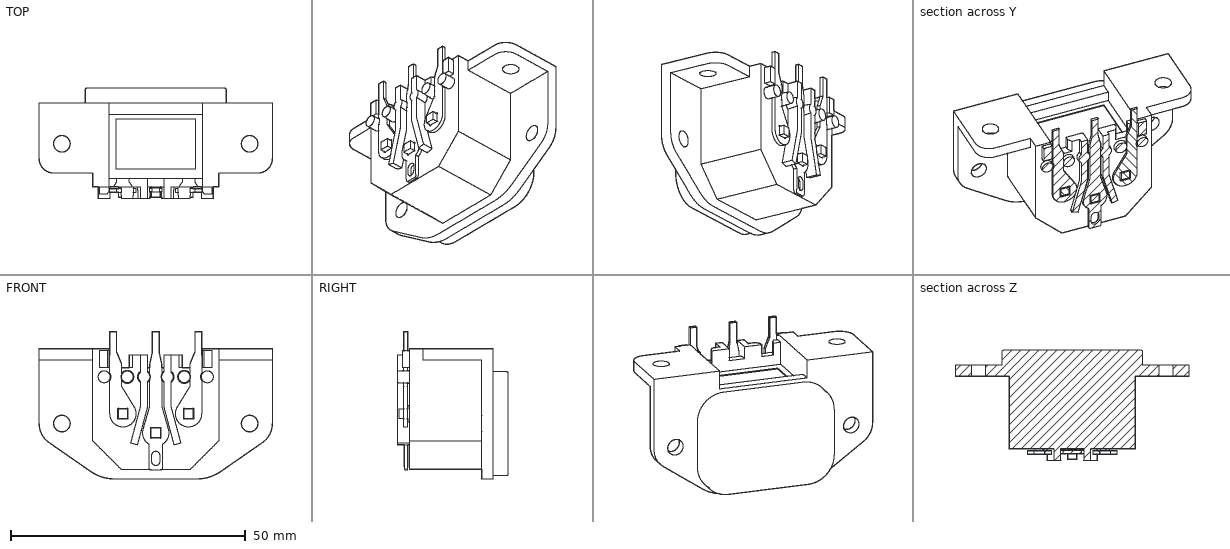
import cadquery as cq
import math


WIDTH = 49.75
HOUSING_HEIGHT = 27.8
FLANGE_THICKNESS = 2.45
FLANGE_BOTTOM_HALF_WIDTH = 11.55
FLANGE_SIDE_BOTTOM_Z = 9.25
FLANGE_SIDE_RADIUS = 5.0
FLANGE_BOTTOM_RADIUS = 8.95
TAB_LENGTH = 15.0
TAB_CORNER_RADIUS = 3.2
SCREW_HOLE_DIAMETER = 3.5
SCREW_HOLE_X = 20.0
FLANGE_HOLE_Z = 11.85
TAB_HOLE_Y = -8.7

BODY_HALF_WIDTH = 13.45
BODY_DEPTH = 17.85
BODY_BOTTOM_Z = 2.1
BODY_CHAMFER = 6.05
REAR_Y = -BODY_DEPTH

SHROUD_WIDTH = 30.05
SHROUD_HEIGHT = 22.2
SHROUD_DEPTH = 3.2
SHROUD_CORNER_RADIUS = 5.95
SHROUD_RIM_RADIUS = 0.35

CHANNEL_HALF_WIDTH = 9.95
CHANNEL_RIM_Z = 23.8
CHANNEL_FLOOR_Z = 21.5
REAR_WALL_THICKNESS = 1.8
LABEL_HALF_WIDTH = 8.5
LABEL_FRONT_Y = -3.45
LABEL_LENGTH = 10.6
LABEL_DEPTH = 0.2

REAR_REACH = 2.55
FIN_TOP_Z = 26.45
FIN_INNER_X = 1.75
FIN_THICKNESS = 1.5
FIN_BEND_Z = 15.55
FIN_TILT = math.radians(15)
FIN_LEG_LENGTH = 8.15
NOTCH_HALF_WIDTH = 1.35
NOTCH_FLARE = 0.65
NOTCH_FLARE_DEPTH = 1.05
PEG_Z = 21.8
OUTER_PEG_DIAMETER = 2.55
OUTER_PEG_X = 11.0
INNER_PEG_X = 6.05
FIN_PEG_X = 2.5
PEG_ROOT_DIAMETER = 2.8
PEG_TIP_DIAMETER = 2.5
STOP_OUTER_X = 11.95
STOP_TOP_Z = 27.35
STOP_DEPTH = 1.5
STOP_CHAMFER_X = 0.35
STOP_CHAMFER_Y = 0.6

PIN_SPACING = 14.0
SIDE_PIN_X = PIN_SPACING / 2
SIDE_PIN_Z = 13.95
CENTER_PIN_Z = 9.85
PIN_WIDTH = 2.0
PIN_REACH = 2.25
PIN_SHOULDER_HEIGHT = 3.5
PIN_SHOULDER_LENGTH = 0.3
PIN_SITES = [(-SIDE_PIN_X, SIDE_PIN_Z), (0, CENTER_PIN_Z), (SIDE_PIN_X, SIDE_PIN_Z)]

TERMINAL_TOP_Z = 31.45
TERMINAL_THICKNESS = 0.8
TERMINAL_EYE_DIAMETER = 5.6
TERMINAL_EYE_RADIUS = TERMINAL_EYE_DIAMETER / 2
TERMINAL_PIN_HOLE = 2.25
LEG_WIDTH = 1.5
LEG_TAPER_TOP_Z = 27.05
LEG_TAPER_BOTTOM_Z = 24.6
OUTER_PEG_CLEARANCE = 0.175
SIDE_STANDOFF = 0.4
SIDE_BAND_INNER_X = 7.25
SIDE_BAND_BOTTOM_Z = 19.75
CENTER_STANDOFF = 0.3
CENTER_BAND_HALF_WIDTH = 1.3
CENTER_BAND_BOTTOM_Z = 15.55
TAIL_HALF_WIDTH = 1.45
TAIL_BOTTOM_Z = 1.95
TAIL_CORNER_RADIUS = 0.4
TAIL_TIP_LENGTH = 0.75
TAIL_TIP_INSET = 0.15
TAIL_SLOT_WIDTH = 1.75
TAIL_SLOT_HEIGHT = 3.05
TAIL_SLOT_Z = 4.45


def plane_at(y):
    """Workplane at the given Y; sketches are (X, Z) and extrude towards -Y."""
    return cq.Workplane("XZ", origin=(0, y, 0))


def box(x_range, y_range, z_range):
    """Block between two limits on each axis."""
    (x0, x1), (y0, y1), (z0, z1) = x_range, y_range, z_range
    return cq.Workplane("XY").box(x1 - x0, y1 - y0, z1 - z0, centered=False).translate((x0, y0, z0))


def both_sides(shape):
    """The shape together with its mirror image about X = 0."""
    return shape.union(shape.mirror("YZ"))


def straight_peg(x, diameter):
    """Cylinder standing on the rear face."""
    return plane_at(REAR_Y).center(x, PEG_Z).circle(diameter / 2).extrude(REAR_REACH)


def tapered_peg(x):
    """Peg that narrows from its root on the rear face to its tip."""
    root = cq.Vector(x, REAR_Y, PEG_Z)
    rearward = cq.Vector(0, -1, 0)
    cone = cq.Solid.makeCone(PEG_ROOT_DIAMETER / 2, PEG_TIP_DIAMETER / 2, REAR_REACH, root, rearward)
    return cq.Workplane(cone)


def flange():
    half = WIDTH / 2
    outline = [
        (-half, HOUSING_HEIGHT),
        (half, HOUSING_HEIGHT),
        (half, FLANGE_SIDE_BOTTOM_Z),
        (FLANGE_BOTTOM_HALF_WIDTH, 0),
        (-FLANGE_BOTTOM_HALF_WIDTH, 0),
        (-half, FLANGE_SIDE_BOTTOM_Z),
    ]
    plate = plane_at(0).polyline(outline).close().extrude(FLANGE_THICKNESS)
    plate = plate.edges("|Y and <Z").fillet(FLANGE_BOTTOM_RADIUS)
    side_corners = cq.selectors.BoxSelector(
        (-WIDTH, -FLANGE_THICKNESS, 0),
        (WIDTH, 0, FLANGE_SIDE_BOTTOM_Z + 0.5),
    )
    plate = plate.edges("(|Y and <X) or (|Y and >X)").edges(side_corners).fillet(FLANGE_SIDE_RADIUS)
    holes = plane_at(0).pushPoints([(-SCREW_HOLE_X, FLANGE_HOLE_Z), (SCREW_HOLE_X, FLANGE_HOLE_Z)])
    return plate.cut(holes.circle(SCREW_HOLE_DIAMETER / 2).extrude(FLANGE_THICKNESS))


def mounting_tabs():
    tab_bottom_z = HOUSING_HEIGHT - FLANGE_THICKNESS
    tabs = box((-WIDTH / 2, WIDTH / 2), (-TAB_LENGTH, 0), (tab_bottom_z, HOUSING_HEIGHT))
    tabs = tabs.edges("|Z and <Y").fillet(TAB_CORNER_RADIUS)
    holes = cq.Workplane("XY", origin=(0, 0, tab_bottom_z))
    holes = holes.pushPoints([(-SCREW_HOLE_X, TAB_HOLE_Y), (SCREW_HOLE_X, TAB_HOLE_Y)])
    return tabs.cut(holes.circle(SCREW_HOLE_DIAMETER / 2).extrude(FLANGE_THICKNESS))


def body_block():
    block = box((-BODY_HALF_WIDTH, BODY_HALF_WIDTH), (REAR_Y, 0), (BODY_BOTTOM_Z, HOUSING_HEIGHT))
    return block.edges("|Y and <Z").chamfer(BODY_CHAMFER)


def shroud():
    block = plane_at(SHROUD_DEPTH).center(0, FLANGE_HOLE_Z).rect(SHROUD_WIDTH, SHROUD_HEIGHT)
    block = block.extrude(SHROUD_DEPTH).edges("|Y").fillet(SHROUD_CORNER_RADIUS)
    return block.faces(">Y").fillet(SHROUD_RIM_RADIUS)


def top_channel():
    """Volume removed between the tabs: a low passage with a deeper trough and a label pocket."""
    channel_x = (-CHANNEL_HALF_WIDTH, CHANNEL_HALF_WIDTH)
    passage = box(channel_x, (REAR_Y, 0), (CHANNEL_RIM_Z, HOUSING_HEIGHT))
    trough_y = (REAR_Y + REAR_WALL_THICKNESS, -FLANGE_THICKNESS)
    trough = box(channel_x, trough_y, (CHANNEL_FLOOR_Z, CHANNEL_RIM_Z))
    label_y = (LABEL_FRONT_Y - LABEL_LENGTH, LABEL_FRONT_Y)
    label_x = (-LABEL_HALF_WIDTH, LABEL_HALF_WIDTH)
    label = box(label_x, label_y, (CHANNEL_FLOOR_Z - LABEL_DEPTH, CHANNEL_FLOOR_Z))
    return passage.union(trough).union(label)


def wall_crest():
    """Raised stretch of the rear wall with a notch that flares towards the rear."""
    wall_y = (REAR_Y, REAR_Y + REAR_WALL_THICKNESS)
    crest = box((FIN_INNER_X, CHANNEL_HALF_WIDTH), wall_y, (CHANNEL_RIM_Z, FIN_TOP_Z))
    flared = NOTCH_HALF_WIDTH + NOTCH_FLARE
    flare_start_y = REAR_Y + NOTCH_FLARE_DEPTH
    outline = [
        (SIDE_PIN_X - flared, REAR_Y),
        (SIDE_PIN_X + flared, REAR_Y),
        (SIDE_PIN_X + NOTCH_HALF_WIDTH, flare_start_y),
        (SIDE_PIN_X + NOTCH_HALF_WIDTH, REAR_Y + REAR_WALL_THICKNESS),
        (SIDE_PIN_X - NOTCH_HALF_WIDTH, REAR_Y + REAR_WALL_THICKNESS),
        (SIDE_PIN_X - NOTCH_HALF_WIDTH, flare_start_y),
    ]
    notch = cq.Workplane("XY", origin=(0, 0, CHANNEL_RIM_Z)).polyline(outline).close()
    return crest.cut(notch.extrude(FIN_TOP_Z - CHANNEL_RIM_Z))


def fin():
    """Barrier rib: a straight upper part and a lower leg tilted outwards."""
    outer_x = FIN_INNER_X + FIN_THICKNESS
    leg_x = FIN_LEG_LENGTH * math.sin(FIN_TILT)
    leg_z = FIN_LEG_LENGTH * math.cos(FIN_TILT)
    outer_end = (outer_x + leg_x, FIN_BEND_Z - leg_z)
    inner_end = (
        outer_end[0] - FIN_THICKNESS * math.cos(FIN_TILT),
        outer_end[1] - FIN_THICKNESS * math.sin(FIN_TILT),
    )
    inner_bend_z = FIN_BEND_Z - FIN_THICKNESS * math.tan(FIN_TILT / 2)
    outline = [
        (FIN_INNER_X, FIN_TOP_Z),
        (outer_x, FIN_TOP_Z),
        (outer_x, FIN_BEND_Z),
        outer_end,
        inner_end,
        (FIN_INNER_X, inner_bend_z),
    ]
    return plane_at(REAR_Y).polyline(outline).close().extrude(REAR_REACH)


def stop_block():
    """Block beside the terminal leg, bevelled on its inner rear corner."""
    rear = REAR_Y - STOP_DEPTH
    outline = [
        (CHANNEL_HALF_WIDTH, REAR_Y),
        (STOP_OUTER_X, REAR_Y),
        (STOP_OUTER_X, rear),
        (CHANNEL_HALF_WIDTH + STOP_CHAMFER_X, rear),
        (CHANNEL_HALF_WIDTH, rear + STOP_CHAMFER_Y),
    ]
    sketch = cq.Workplane("XY", origin=(0, 0, CHANNEL_RIM_Z)).polyline(outline).close()
    return sketch.extrude(STOP_TOP_Z - CHANNEL_RIM_Z)


def rear_details():
    """Crest, fin, stop block and pegs of the +X half."""
    details = wall_crest().union(fin()).union(stop_block())
    details = details.union(straight_peg(OUTER_PEG_X, OUTER_PEG_DIAMETER))
    for x in (INNER_PEG_X, FIN_PEG_X):
        details = details.union(tapered_peg(x))
    return details


def make_housing():
    shell = flange().union(mounting_tabs()).union(body_block()).union(shroud())
    return shell.cut(top_channel()).union(both_sides(rear_details()))


def make_pin(x, z):
    """Square pin with a taller shoulder resting on the rear face."""
    shoulder = plane_at(REAR_Y).center(x, z).rect(PIN_WIDTH, PIN_SHOULDER_HEIGHT)
    tail = plane_at(REAR_Y).center(x, z).rect(PIN_WIDTH, PIN_WIDTH)
    return shoulder.extrude(PIN_SHOULDER_LENGTH).union(tail.extrude(PIN_REACH))


def tangent_point(start, center, radius):
    """Where the line from start touches the circle, on its +X side as seen from above it."""
    dx = start[0] - center[0]
    dz = start[1] - center[1]
    angle = math.atan2(dz, dx) - math.acos(radius / math.hypot(dx, dz))
    return (center[0] + radius * math.cos(angle), center[1] + radius * math.sin(angle))


def pin_hole(y, x, z):
    return plane_at(y).center(x, z).rect(TERMINAL_PIN_HOLE, TERMINAL_PIN_HOLE).extrude(TERMINAL_THICKNESS)


def make_side_terminal():
    """Terminal on the -X side: a leg along its outer edge above a round eye."""
    y = REAR_Y - SIDE_STANDOFF
    eye = (-SIDE_PIN_X, SIDE_PIN_Z)
    outer_x = -SIDE_PIN_X - TERMINAL_EYE_RADIUS
    band_end = (-SIDE_BAND_INNER_X, SIDE_BAND_BOTTOM_Z)
    plate = (
        plane_at(y)
        .moveTo(outer_x, SIDE_PIN_Z)
        .lineTo(outer_x, TERMINAL_TOP_Z)
        .lineTo(outer_x + LEG_WIDTH, TERMINAL_TOP_Z)
        .lineTo(outer_x + LEG_WIDTH, LEG_TAPER_TOP_Z)
        .lineTo(-SIDE_BAND_INNER_X, LEG_TAPER_BOTTOM_Z)
        .lineTo(*band_end)
        .lineTo(*tangent_point(band_end, eye, TERMINAL_EYE_RADIUS))
        .threePointArc((eye[0], eye[1] - TERMINAL_EYE_RADIUS), (outer_x, SIDE_PIN_Z))
        .close()
        .extrude(TERMINAL_THICKNESS)
    )
    plate = plate.cut(straight_peg(-OUTER_PEG_X, OUTER_PEG_DIAMETER + 2 * OUTER_PEG_CLEARANCE))
    plate = plate.cut(tapered_peg(-INNER_PEG_X))
    return plate.cut(pin_hole(y, *eye))


def terminal_tail(y):
    """Tail below the centre eye with a wedge tip and rounded tip corners."""
    tail = box(
        (-TAIL_HALF_WIDTH, TAIL_HALF_WIDTH),
        (y - TERMINAL_THICKNESS, y),
        (TAIL_BOTTOM_Z, CENTER_PIN_Z),
    )
    tail = tail.edges("|Y and <Z").fillet(TAIL_CORNER_RADIUS)
    middle_y = y - TERMINAL_THICKNESS / 2
    tip_half = TERMINAL_THICKNESS / 2 - TAIL_TIP_INSET
    tip_z = TAIL_BOTTOM_Z + TAIL_TIP_LENGTH
    profile = [
        (y, CENTER_PIN_Z),
        (y, tip_z),
        (middle_y + tip_half, TAIL_BOTTOM_Z),
        (middle_y - tip_half, TAIL_BOTTOM_Z),
        (y - TERMINAL_THICKNESS, tip_z),
        (y - TERMINAL_THICKNESS, CENTER_PIN_Z),
    ]
    wedge = cq.Workplane("YZ").polyline(profile).close().extrude(TAIL_HALF_WIDTH, both=True)
    slot = plane_at(y).center(0, TAIL_SLOT_Z).slot2D(TAIL_SLOT_HEIGHT, TAIL_SLOT_WIDTH, 90)
    return tail.intersect(wedge).cut(slot.extrude(TERMINAL_THICKNESS))


def make_center_terminal():
    """Symmetric terminal: central leg, flared band, round eye and slotted tail."""
    y = REAR_Y - CENTER_STANDOFF
    eye = (0, CENTER_PIN_Z)
    band_end = (CENTER_BAND_HALF_WIDTH, CENTER_BAND_BOTTOM_Z)
    touch_x, touch_z = tangent_point(band_end, eye, TERMINAL_EYE_RADIUS)
    right_edge = [
        (LEG_WIDTH / 2, TERMINAL_TOP_Z),
        (LEG_WIDTH / 2, LEG_TAPER_TOP_Z),
        (CENTER_BAND_HALF_WIDTH, LEG_TAPER_BOTTOM_Z),
        band_end,
        (touch_x, touch_z),
    ]
    left_edge = [(-x, z) for x, z in reversed(right_edge)]
    plate = (
        plane_at(y)
        .polyline(left_edge + right_edge)
        .threePointArc((0, CENTER_PIN_Z - TERMINAL_EYE_RADIUS), (-touch_x, touch_z))
        .close()
        .extrude(TERMINAL_THICKNESS)
    )
    plate = plate.union(terminal_tail(y))
    for x in (-FIN_PEG_X, FIN_PEG_X):
        plate = plate.cut(tapered_peg(x))
    return plate.cut(pin_hole(y, *eye))


housing = make_housing()
pins = [make_pin(x, z) for x, z in PIN_SITES]
left_terminal = make_side_terminal()
side_terminals = [left_terminal, left_terminal.mirror("YZ")]
center_terminal = make_center_terminal()

result = cq.Compound.makeCompound([
    housing.val(),
    *[pin.val() for pin in pins],
    *[terminal.val() for terminal in side_terminals],
    center_terminal.val(),
])